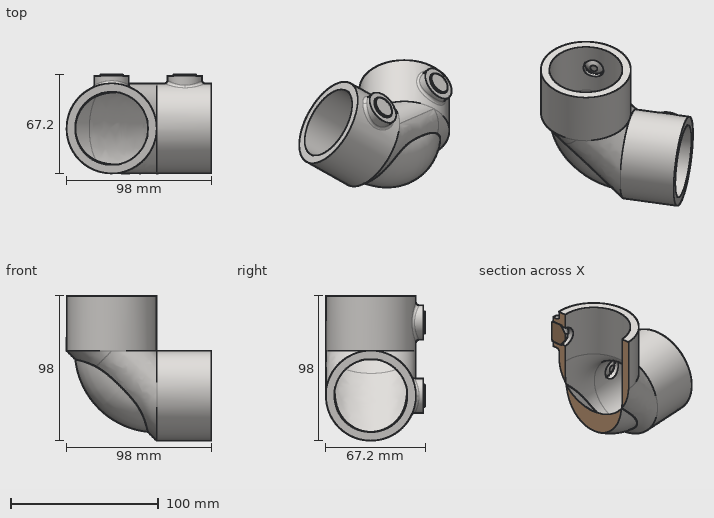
import cadquery as cq
import math

overall_length = 98.0
socket_diameter = 61.0
bore_diameter = 49.4
bulge_diameter = 49.8
overall_width = 67.2

socket_radius = socket_diameter / 2
bore_radius = bore_diameter / 2
bulge_radius = bulge_diameter / 2
socket_end = overall_length - socket_radius

boss_diameter = 23.5
boss_inset = 18.0
boss_fillet = 2.0
screw_diameter = 15.5
screw_protrusion = 1.2
screw_chamfer = 0.6
screw_tip_diameter = 4.9
screw_tip_length = 3.9
screw_tip_y = 24.7
screw_hole_throat = 13.9

throat_fraction = (screw_hole_throat - screw_tip_diameter) / (screw_diameter - screw_tip_diameter)
screw_seat_y = screw_tip_y + screw_tip_length * throat_fraction
screw_top_y = overall_width - socket_radius
boss_top_y = screw_top_y - screw_protrusion
boss_position = socket_end - boss_inset
boss_centers = [(0, boss_position), (boss_position, 0)]


def y_cylinder(x, z, diameter, start_y, end_y):
    """Cylinder along +Y, centred at (x, z)."""
    return cq.Workplane(
        cq.Solid.makeCylinder(diameter / 2, end_y - start_y, cq.Vector(x, start_y, z), cq.Vector(0, 1, 0))
    )


def socket_pair(radius, start):
    """Two cylinders, one along Z and one along X, running to the socket mouths."""
    length = socket_end - start
    upright = cq.Workplane("XY").workplane(offset=start).circle(radius).extrude(length)
    level = cq.Workplane("YZ").workplane(offset=start).circle(radius).extrude(length)
    return upright, level


def slanted_link():
    """45-degree oblique cylinder that joins the inner ends of the two sockets.

    Its section square to the slant is an ellipse; the socket end planes cut it to circles.
    """
    reach = 2 * socket_diameter
    slant_plane = cq.Plane(origin=(0, 0, socket_radius), xDir=(0, 1, 0), normal=(1, 0, -1))
    bar = (
        cq.Workplane(slant_plane)
        .ellipse(socket_radius, socket_radius / math.sqrt(2))
        .extrude(reach, both=True)
    )
    corner_center = socket_radius - reach / 2
    corner = cq.Workplane("XY").box(reach, reach, reach).translate((corner_center, 0, corner_center))
    return bar.intersect(corner)


def quarter_bend(radius):
    """Round 90-degree bend between the inner ends of the two sockets."""
    return (
        cq.Workplane("XY")
        .workplane(offset=socket_radius)
        .circle(radius)
        .revolve(90, (socket_radius, 1, 0), (socket_radius, 0, 0))
    )


def bossed_socket(tube, x, z):
    """Socket tube with its screw boss, filleted where the boss meets the tube."""
    joined = tube.union(y_cylinder(x, z, boss_diameter, 0, boss_top_y))
    foot_zone = cq.selectors.BoxSelector(
        (x - boss_diameter, bore_radius, z - boss_diameter),
        (x + boss_diameter, boss_top_y - boss_fillet / 2, z + boss_diameter),
    )
    return joined.edges(foot_zone).fillet(boss_fillet)


def make_housing():
    link = slanted_link()
    body = link.union(quarter_bend(bulge_radius))
    for tube, (x, z) in zip(socket_pair(socket_radius, socket_radius), boss_centers):
        body = body.union(bossed_socket(tube, x, z))
    for bore in socket_pair(bore_radius, socket_radius):
        body = body.cut(bore)
    body = body.cut(quarter_bend(bore_radius).intersect(link))
    for x, z in boss_centers:
        body = body.cut(y_cylinder(x, z, screw_hole_throat, 0, screw_seat_y))
        body = body.cut(y_cylinder(x, z, screw_diameter, screw_seat_y, boss_top_y))
    return body


def make_screw(x, z):
    """Set screw with a chamfered outer end and a flat-ended conical tip."""
    shank = y_cylinder(x, z, screw_diameter, screw_tip_y + screw_tip_length, screw_top_y)
    shank = shank.faces(">Y").chamfer(screw_chamfer)
    tip = cq.Solid.makeCone(
        screw_tip_diameter / 2,
        screw_diameter / 2,
        screw_tip_length,
        cq.Vector(x, screw_tip_y, z),
        cq.Vector(0, 1, 0),
    )
    return shank.union(cq.Workplane(tip))


housing = make_housing()
screws = [make_screw(x, z) for x, z in boss_centers]
result = cq.Compound.makeCompound([housing.solids().val(), *[screw.solids().val() for screw in screws]])